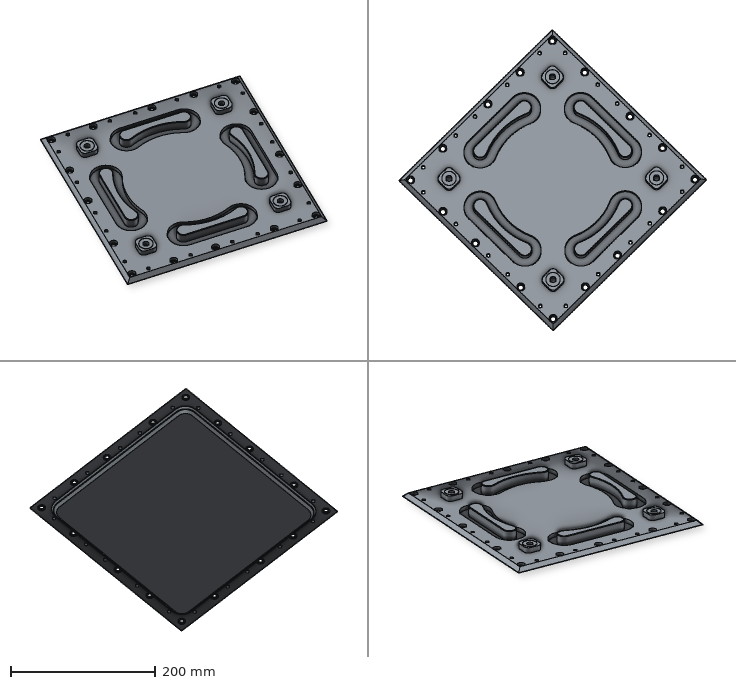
import cadquery as cq
import math

plate_side = 301.8
lower_pad_height = 4.2
band_height = 0.5
upper_pad_height = 3.5
plate_thickness = 6.3
boss_height = 8.0
band_bottom = lower_pad_height
upper_pad_bottom = band_bottom + band_height
plate_bottom = upper_pad_bottom + upper_pad_height
plate_top = plate_bottom + plate_thickness
raised_top = plate_top + boss_height

bevel = 5.7

upper_pad_inset = 15.5
upper_pad_bevel = 2.5
band_inset = upper_pad_inset + upper_pad_bevel
lower_pad_inset = 18.5
lower_pad_bevel = 4.0
layer_corner_centre = 115.3

hole_line = 139.5
screw_positions = [-76.0, 12.7, 76.0, hole_line]
dowel_positions = [-114.5, -50.7, -12.7, 50.7, 114.5]
screw_diameter = 7.2
screw_head_diameter = 11.0
screw_head_depth = 5.0
dowel_diameter = 4.8

handle_end_radius = 10.0
handle_end_x = 43.5
handle_end_y = 98.7
grip_clearance = 12.7
handle_edge = 1.0

boss_offset = 101.7
boss_side = 25.5
boss_corner_radius = 7.0
boss_hole_diameter = 8.5
boss_hole_depth = 9.0
drill_point_angle = 118
spotface_diameter = 20.0
spotface_depth = 0.3


def bean(offset, bottom, height):
    """Straight outer edge, round ends and an inner edge that is an arc about the plate's centre."""
    end_radius = handle_end_radius + offset
    centre_distance = math.hypot(handle_end_x, handle_end_y)
    inner_radius = centre_distance - end_radius
    tangent_x = handle_end_x * inner_radius / centre_distance
    tangent_y = handle_end_y * inner_radius / centre_distance
    inward_angle = math.atan2(-handle_end_y, -handle_end_x)
    middle_angle = (math.pi / 2 + inward_angle) / 2
    middle_x = handle_end_x + end_radius * math.cos(middle_angle)
    middle_y = handle_end_y + end_radius * math.sin(middle_angle)
    outer_y = handle_end_y + end_radius
    return (
        cq.Workplane("XY", origin=(0, 0, bottom))
        .moveTo(-handle_end_x, outer_y)
        .lineTo(handle_end_x, outer_y)
        .threePointArc((middle_x, middle_y), (tangent_x, tangent_y))
        .threePointArc((0, inner_radius), (-tangent_x, tangent_y))
        .threePointArc((-middle_x, middle_y), (-handle_end_x, outer_y))
        .close()
        .extrude(height)
    )


def quarter_turn_copies(shape):
    return [shape.rotate((0, 0, 0), (0, 0, 1), 90 * turn) for turn in range(4)]


def make_boss_hole():
    """Spotfaced blind hole with a drill point, in the top of a boss on the Z axis."""
    hole_radius = boss_hole_diameter / 2
    spotface_floor = raised_top - spotface_depth
    hole_floor = raised_top - boss_hole_depth
    point_depth = hole_radius / math.tan(math.radians(drill_point_angle / 2))
    return (
        cq.Workplane("XZ")
        .polyline([
            (0, raised_top),
            (spotface_diameter / 2, raised_top),
            (spotface_diameter / 2, spotface_floor),
            (hole_radius, spotface_floor),
            (hole_radius, hole_floor),
            (0, hole_floor - point_depth),
        ])
        .close()
        .revolve(360, (0, 0, 0), (0, 1, 0))
    )


def make_edge_holes():
    """Counterbored screw holes and plain dowel holes along the +Y edge."""
    top = cq.Workplane("XY", origin=(0, 0, plate_top))
    screws = top.pushPoints([(x, hole_line) for x in screw_positions])
    dowels = top.pushPoints([(x, hole_line) for x in dowel_positions])
    return (
        screws.circle(screw_diameter / 2).extrude(-plate_thickness)
        .union(screws.circle(screw_head_diameter / 2).extrude(-screw_head_depth))
        .union(dowels.circle(dowel_diameter / 2).extrude(-plate_thickness))
    )


def make_cover_plate():
    """Bevelled square plate with four corner bosses, four handle windows and perimeter holes."""
    plate = (
        cq.Workplane("XY", origin=(0, 0, plate_bottom))
        .rect(plate_side, plate_side)
        .extrude(plate_thickness)
        .faces(">Z")
        .chamfer(bevel)
    )
    boss = (
        cq.Workplane("XY", origin=(boss_offset, boss_offset, plate_top))
        .rect(boss_side, boss_side)
        .extrude(boss_height)
        .edges("|Z")
        .fillet(boss_corner_radius)
    )
    boss_hole = make_boss_hole().translate((boss_offset, boss_offset, 0))
    window = bean(grip_clearance, plate_bottom, plate_thickness)

    for copy in quarter_turn_copies(boss):
        plate = plate.union(copy)
    for cutter in (boss_hole, window, make_edge_holes()):
        for copy in quarter_turn_copies(cutter):
            plate = plate.cut(copy)
    return plate


def make_layer(bottom, height, inset, bottom_bevel=0):
    """Rounded square slab, with an optional 45 degree bevel around its underside."""
    side = plate_side - 2 * inset
    corner_radius = side / 2 - layer_corner_centre
    layer = (
        cq.Workplane("XY", origin=(0, 0, bottom))
        .rect(side, side)
        .extrude(height)
        .edges("|Z")
        .fillet(corner_radius)
    )
    if bottom_bevel > 0:
        layer = layer.faces("<Z").chamfer(bottom_bevel)
    return layer


def make_upper_pad():
    """Bevelled slab with the four handles standing on it."""
    pad = make_layer(upper_pad_bottom, upper_pad_height, upper_pad_inset, upper_pad_bevel)
    handle = bean(0, plate_bottom, raised_top - plate_bottom).faces(">Z").chamfer(handle_edge)
    for copy in quarter_turn_copies(handle):
        pad = pad.union(copy)
    return pad


cover_plate = make_cover_plate()
upper_pad = make_upper_pad()
band = make_layer(band_bottom, band_height, band_inset)
lower_pad = make_layer(0, lower_pad_height, lower_pad_inset, lower_pad_bevel)

bodies = [cover_plate, upper_pad, band, lower_pad]
result = cq.Compound.makeCompound([body.solids().val() for body in bodies])